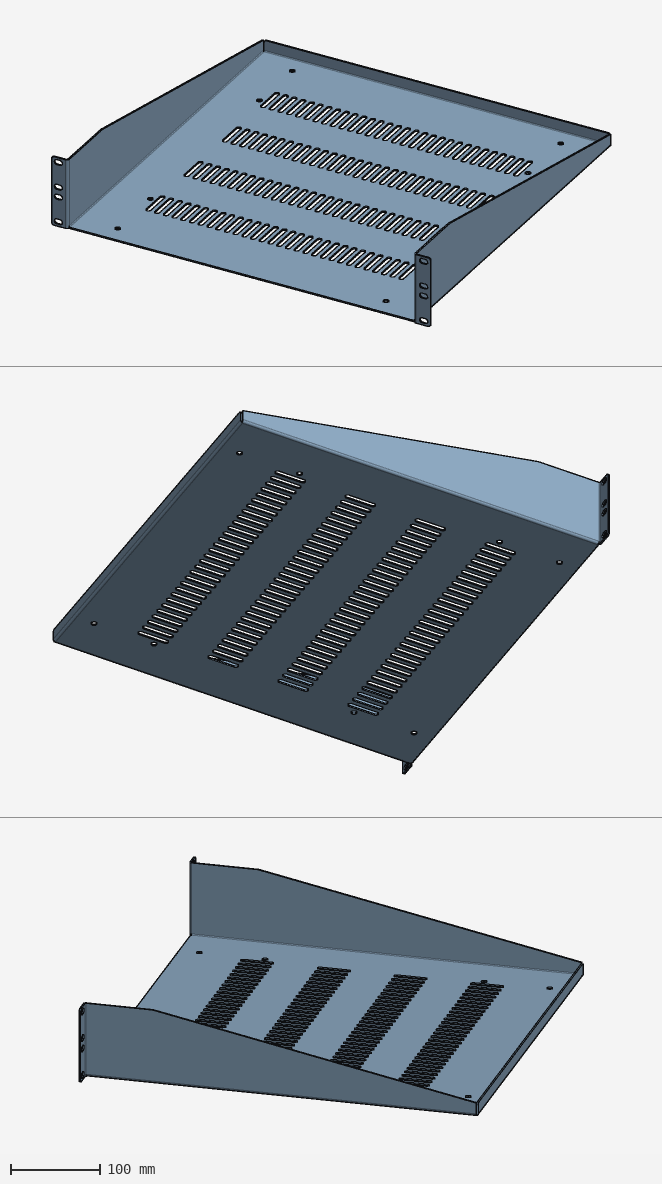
import cadquery as cq

OVERALL_WIDTH = 482.75
DEPTH = 457.2
HEIGHT = 88.09

THICKNESS = 1.9
INNER_BEND_RADIUS = 1.0
OUTER_BEND_RADIUS = INNER_BEND_RADIUS + THICKNESS

TRAY_WIDTH = 444.5
REAR_HEIGHT = 15.875
REAR_CORNER_RADIUS = 3.0
CORNER_NOTCH = 2.0
LEVEL_TOP_LENGTH = 80.0

EAR_CORNER_RADIUS = 3.0
EAR_SLOT_SPACING_X = 465.5
EAR_SLOT_LENGTH = 10.3
EAR_SLOT_HEIGHT = 6.35
OUTER_EAR_SLOT_SPACING = 76.2
INNER_EAR_SLOT_SPACING = 12.7

VENT_COLUMNS = 30
VENT_ROWS = 4
VENT_PITCH_X = 11.1125
VENT_PITCH_Y = 88.9
VENT_WIDTH = 5.9
VENT_LENGTH = 38.1

FLOOR_HOLE_DIAMETER = 6.35
FLOOR_HOLE_SPACING_X = 342.0
FLOOR_HOLE_SPACINGS_Y = (254.0, 406.4)

FRONT_Y = -DEPTH / 2
REAR_Y = DEPTH / 2
TRAY_FRONT_Y = FRONT_Y + THICKNESS
BEND_END_Y = FRONT_Y + OUTER_BEND_RADIUS
WALL_INNER_X = TRAY_WIDTH / 2 - THICKNESS
EAR_OUTER_X = OVERALL_WIDTH / 2


def rounded_block(inset, bend_radius):
    """Tray-sized block, inset from the tray's outside, with rounded bottom edges at sides and rear."""
    block = cq.Workplane("XY").box(
        TRAY_WIDTH - 2 * inset, DEPTH - inset, HEIGHT, centered=(True, False, False)
    )
    block = block.edges("<Z and (not <Y)").fillet(bend_radius)
    return block.translate((0, FRONT_Y, inset))


def make_tray():
    """Floor, two side walls and rear wall, with the two rear corners left open."""
    outside = rounded_block(0, OUTER_BEND_RADIUS)
    inside = rounded_block(THICKNESS, INNER_BEND_RADIUS)
    tray = outside.cut(inside).intersect(side_profile()).cut(rear_corner_notches())
    return tray.edges("|Y").edges(">Y").fillet(REAR_CORNER_RADIUS)


def rear_corner_notches():
    """Square cutters at the rear corners, which keep the side walls and rear wall apart."""
    return (
        cq.Workplane("XY")
        .rarray(TRAY_WIDTH - CORNER_NOTCH, 1, 2, 1)
        .rect(CORNER_NOTCH, CORNER_NOTCH)
        .extrude(HEIGHT)
        .translate((0, REAR_Y - CORNER_NOTCH / 2, 0))
    )


def side_profile():
    """Block with the side walls' outline: level at the front, sloping down to the rear."""
    return (
        cq.Workplane("YZ")
        .moveTo(TRAY_FRONT_Y, 0)
        .lineTo(REAR_Y, 0)
        .lineTo(REAR_Y, REAR_HEIGHT)
        .lineTo(REAR_Y - CORNER_NOTCH, REAR_HEIGHT)
        .lineTo(FRONT_Y + LEVEL_TOP_LENGTH, HEIGHT)
        .lineTo(TRAY_FRONT_Y, HEIGHT)
        .close()
        .extrude(TRAY_WIDTH / 2, both=True)
    )


def make_ear():
    """Right-hand mounting ear with the rounded bend that joins it to the side wall."""
    bend_reach = WALL_INNER_X + OUTER_BEND_RADIUS
    ear = (
        cq.Workplane("XY")
        .moveTo(EAR_OUTER_X, FRONT_Y)
        .lineTo(bend_reach, FRONT_Y)
        .radiusArc((WALL_INNER_X, BEND_END_Y), OUTER_BEND_RADIUS)
        .lineTo(WALL_INNER_X + THICKNESS, BEND_END_Y)
        .radiusArc((bend_reach, TRAY_FRONT_Y), -INNER_BEND_RADIUS)
        .lineTo(EAR_OUTER_X, TRAY_FRONT_Y)
        .close()
        .extrude(HEIGHT)
    )
    return ear.edges("|Y and >X").fillet(EAR_CORNER_RADIUS)


def ear_slots():
    """Cutters for the rack-mounting slots in both ears."""
    points = []
    for x in (-EAR_SLOT_SPACING_X / 2, EAR_SLOT_SPACING_X / 2):
        for spacing in (INNER_EAR_SLOT_SPACING, OUTER_EAR_SLOT_SPACING):
            points.append((x, (HEIGHT - spacing) / 2))
            points.append((x, (HEIGHT + spacing) / 2))
    return (
        cq.Workplane("XZ", origin=(0, TRAY_FRONT_Y, 0))
        .pushPoints(points)
        .slot2D(EAR_SLOT_LENGTH, EAR_SLOT_HEIGHT)
        .extrude(THICKNESS)
    )


def vent_slots():
    """Cutters for the grid of ventilation slots in the floor."""
    return (
        cq.Workplane("XY")
        .rarray(VENT_PITCH_X, VENT_PITCH_Y, VENT_COLUMNS, VENT_ROWS)
        .slot2D(VENT_LENGTH, VENT_WIDTH, 90)
        .extrude(THICKNESS)
    )


def floor_holes():
    """Cutters for the round holes in the floor."""
    points = []
    for spacing in FLOOR_HOLE_SPACINGS_Y:
        for x in (-FLOOR_HOLE_SPACING_X / 2, FLOOR_HOLE_SPACING_X / 2):
            points.append((x, -spacing / 2))
            points.append((x, spacing / 2))
    return (
        cq.Workplane("XY")
        .pushPoints(points)
        .circle(FLOOR_HOLE_DIAMETER / 2)
        .extrude(THICKNESS)
    )


def bend_clearance():
    """Cutters at the front end of both side walls that make room for the ear bends."""
    wall_strip = cq.Workplane("XY").box(
        THICKNESS, OUTER_BEND_RADIUS, HEIGHT, centered=(False, False, False)
    )
    right_strip = wall_strip.translate((WALL_INNER_X, FRONT_Y, 0))
    return right_strip.union(right_strip.mirror("YZ"))


right_ear = make_ear()
left_ear = right_ear.mirror("YZ")

result = (
    make_tray()
    .cut(bend_clearance())
    .union(right_ear)
    .union(left_ear)
    .cut(ear_slots())
    .cut(vent_slots())
    .cut(floor_holes())
)